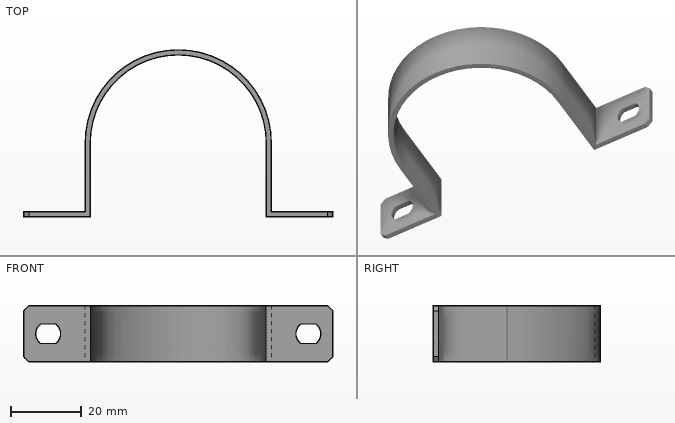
import cadquery as cq

thickness = 1.5
strap_width = 16.0
total_length = 88.0
inner_radius = 25.0
axis_height = 21.0
corner_chamfer = 1.5
hole_spacing = 74.0
hole_diameter = 7.0
hole_flats = 5.5

outer_radius = inner_radius + thickness
half_length = total_length / 2
mounting_y = -axis_height
tab_back_y = mounting_y + thickness


def make_strap():
    """Half-round saddle with straight legs and two outward tabs, centred on Z = 0."""
    return (
        cq.Workplane("XY")
        .workplane(offset=-strap_width / 2)
        .moveTo(-half_length, mounting_y)
        .lineTo(-inner_radius, mounting_y)
        .lineTo(-inner_radius, 0)
        .threePointArc((0, inner_radius), (inner_radius, 0))
        .lineTo(inner_radius, mounting_y)
        .lineTo(half_length, mounting_y)
        .lineTo(half_length, tab_back_y)
        .lineTo(outer_radius, tab_back_y)
        .lineTo(outer_radius, 0)
        .threePointArc((0, outer_radius), (-outer_radius, 0))
        .lineTo(-outer_radius, tab_back_y)
        .lineTo(-half_length, tab_back_y)
        .close()
        .extrude(strap_width)
    )


def chamfer_tab_corners(strap):
    """Cut the four outer corners of the tabs at 45 degrees."""
    tab_ends = strap.faces("<X or >X")
    return tab_ends.edges("|Y").chamfer(corner_chamfer)


def make_hole_cutter(x):
    """Double-D cutter through a tab: a cylinder along Y trimmed by two flats."""
    tab_middle_y = mounting_y + thickness / 2
    cutter_depth = 2 * thickness
    cylinder = (
        cq.Workplane("XZ", origin=(x, tab_middle_y, 0))
        .circle(hole_diameter / 2)
        .extrude(cutter_depth / 2, both=True)
    )
    flats = (
        cq.Workplane("XY")
        .box(hole_diameter, cutter_depth, hole_flats)
        .translate((x, tab_middle_y, 0))
    )
    return cylinder.intersect(flats)


result = chamfer_tab_corners(make_strap())
for side in (-1, 1):
    result = result.cut(make_hole_cutter(side * hole_spacing / 2))